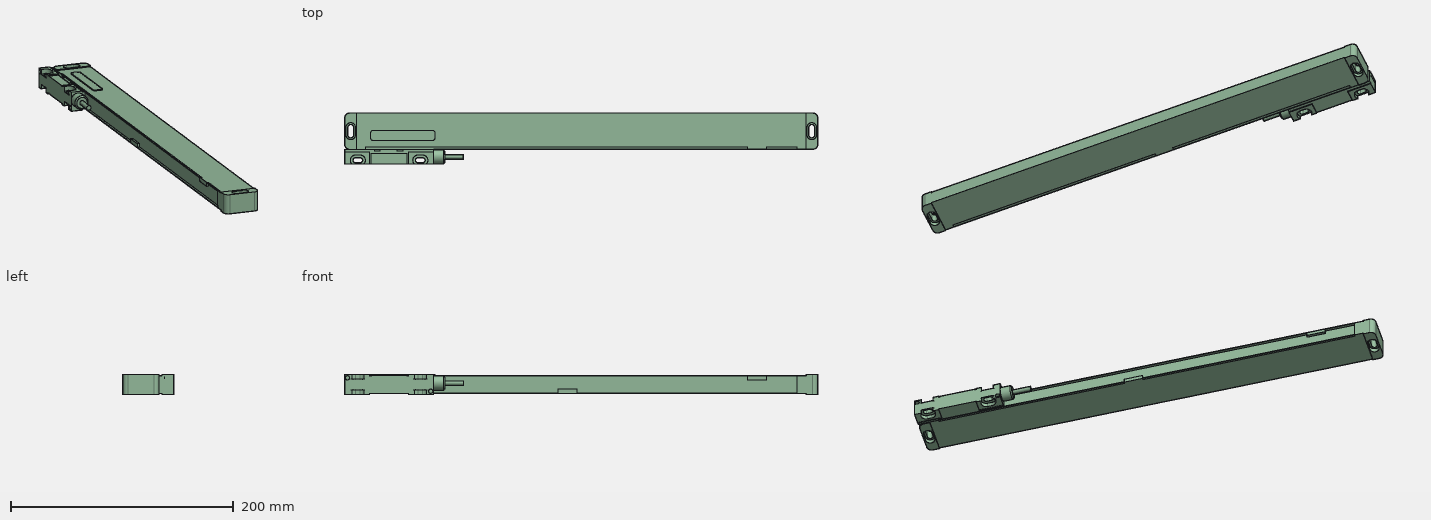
import cadquery as cq

TOTAL_LENGTH = 425.0
BAR_HEIGHT = 16.0
SKIN_STEP = 0.95
TOTAL_HEIGHT = BAR_HEIGHT + 2 * SKIN_STEP

HOUSING_FRONT_Y = 13.0
HOUSING_WIDTH = 32.7
HOUSING_MID_Y = HOUSING_FRONT_Y + HOUSING_WIDTH / 2
CAP_LENGTH = 10.5
CAP_CORNER_RADIUS = 4.5

GROOVE_END_MARGIN = 18.5
GROOVE_LIP = 0.65
GROOVE_DEPTH = 2.0
TAB_LENGTH = 17.0
TAB_HEIGHT = 4.0
UPPER_TAB_X = 370.0
LOWER_TAB_X = 200.0

LABEL_START_X = 23.5
LABEL_LENGTH = 58.0
LABEL_START_Y = 21.2
LABEL_WIDTH = 9.0
LABEL_THICKNESS = 1.0
LABEL_CORNER_RADIUS = 2.0

COUNTERBORE_DEPTH = 4.2
CAP_SLOT_INSET = 5.5
CAP_SLOT_TRAVEL = 7.0
CAP_SLOT_WIDTH = 5.0
CAP_COUNTERBORE_WIDTH = 8.5
HEAD_SLOT_INSET = 12.0
HEAD_SLOT_Y = 3.5
HEAD_SLOT_TRAVEL = 4.2
HEAD_SLOT_WIDTH = 4.2
HEAD_COUNTERBORE_WIDTH = 9.5

HEAD_LENGTH = 80.0
PAD_LENGTH = 22.5
PAD_WIDTH = 10.5
PLATE_START_X = 24.0
PLATE_LENGTH = 32.5
PLATE_WIDTH = 9.5
PLATE_THICKNESS = 0.5
BACK_NOTCH_INSETS = (29.5, 49.7)
BACK_NOTCH_LENGTH = 5.0
BACK_NOTCH_WIDTH = 1.3
BACK_NOTCH_DEPTH = 2.0

CORNER_HOLE_INSET_X = 2.5
CORNER_HOLE_INSET_Z = 3.0
CORNER_HOLE_DIAMETER = 4.0
CORNER_HOLE_DEPTH = 8.5

CABLE_Y = 6.5
CABLE_Z = 10.0
SLEEVE_DIAMETER = 12.8
SLEEVE_LENGTH = 10.0
SLEEVE_CHAMFER = 1.3
CABLE_DIAMETER = 4.2
CABLE_END_X = 106.5


def block(x, y, z, length, width, height):
    """Box with its lowest corner at (x, y, z)."""
    return cq.Workplane("XY").box(length, width, height, centered=False).translate((x, y, z))


def upright_slot(x, y, z, travel, width, height, angle):
    """Round-ended vertical prism; travel is the distance between its end centres."""
    return (
        cq.Workplane("XY")
        .slot2D(travel + width, width, angle)
        .extrude(height)
        .translate((x, y, z))
    )


def counterbored_slot(x, y, travel, slot_width, counterbore_width, angle):
    """Cutter for a through slot with a slotted counterbore from the top and from the bottom."""
    cutter = upright_slot(x, y, 0, travel, slot_width, TOTAL_HEIGHT, angle)
    for z in (0, TOTAL_HEIGHT - COUNTERBORE_DEPTH):
        cutter = cutter.union(
            upright_slot(x, y, z, travel, counterbore_width, COUNTERBORE_DEPTH, angle)
        )
    return cutter


def end_cap(x, outer_side):
    """End cap starting at x, with both vertical edges of its outer side rounded."""
    cap = block(x, HOUSING_FRONT_Y, 0, CAP_LENGTH, HOUSING_WIDTH, TOTAL_HEIGHT)
    return cap.faces(outer_side).edges("|Z").fillet(CAP_CORNER_RADIUS)


def guide_groove():
    """Cutter for the front groove, leaving one tab standing at each lip."""
    bottom_z = SKIN_STEP + GROOVE_LIP
    top_z = TOTAL_HEIGHT - bottom_z
    groove = block(
        GROOVE_END_MARGIN, HOUSING_FRONT_Y, bottom_z,
        TOTAL_LENGTH - 2 * GROOVE_END_MARGIN, GROOVE_DEPTH, top_z - bottom_z,
    )
    lower_tab_z = SKIN_STEP
    upper_tab_z = TOTAL_HEIGHT - SKIN_STEP - TAB_HEIGHT
    for tab_x, tab_z in ((LOWER_TAB_X, lower_tab_z), (UPPER_TAB_X, upper_tab_z)):
        groove = groove.cut(
            block(tab_x - TAB_LENGTH / 2, HOUSING_FRONT_Y, tab_z, TAB_LENGTH, GROOVE_DEPTH, TAB_HEIGHT)
        )
    return groove


def label_plate():
    """Thin raised plate with rounded corners on top of the bar."""
    plate = block(
        LABEL_START_X, LABEL_START_Y, TOTAL_HEIGHT - SKIN_STEP,
        LABEL_LENGTH, LABEL_WIDTH, LABEL_THICKNESS,
    )
    return plate.edges("|Z").fillet(LABEL_CORNER_RADIUS)


def make_housing():
    bar_length = TOTAL_LENGTH - 2 * CAP_LENGTH
    housing = block(CAP_LENGTH, HOUSING_FRONT_Y, SKIN_STEP, bar_length, HOUSING_WIDTH, BAR_HEIGHT)
    housing = housing.cut(guide_groove()).union(label_plate())
    housing = housing.union(end_cap(0, "<X")).union(end_cap(TOTAL_LENGTH - CAP_LENGTH, ">X"))
    for x in (CAP_SLOT_INSET, TOTAL_LENGTH - CAP_SLOT_INSET):
        housing = housing.cut(
            counterbored_slot(
                x, HOUSING_MID_Y, CAP_SLOT_TRAVEL, CAP_SLOT_WIDTH, CAP_COUNTERBORE_WIDTH, 90
            )
        )
    return housing


def corner_hole(x, z):
    """Cutter for a blind hole going in from the head's front face."""
    return (
        cq.Workplane("XZ", origin=(x, 0, z))
        .circle(CORNER_HOLE_DIAMETER / 2)
        .extrude(-CORNER_HOLE_DEPTH)
    )


def cable_outlet():
    """Chamfered sleeve on the end of the head and the cable leaving it."""
    start = cq.Workplane("YZ", origin=(HEAD_LENGTH, CABLE_Y, CABLE_Z))
    sleeve = start.circle(SLEEVE_DIAMETER / 2).extrude(SLEEVE_LENGTH)
    sleeve = sleeve.faces(">X").chamfer(SLEEVE_CHAMFER)
    cable = start.circle(CABLE_DIAMETER / 2).extrude(CABLE_END_X - HEAD_LENGTH)
    return sleeve.union(cable)


def make_reading_head():
    head = block(0, 0, SKIN_STEP, HEAD_LENGTH, HOUSING_FRONT_Y, BAR_HEIGHT)
    for x in (0, HEAD_LENGTH - PAD_LENGTH):
        head = head.union(block(x, 0, 0, PAD_LENGTH, PAD_WIDTH, TOTAL_HEIGHT))

    core_top_z = TOTAL_HEIGHT - SKIN_STEP
    head = head.union(block(PLATE_START_X, 0, core_top_z, PLATE_LENGTH, PLATE_WIDTH, PLATE_THICKNESS))

    for x in BACK_NOTCH_INSETS:
        head = head.cut(
            block(
                x - BACK_NOTCH_LENGTH / 2, HOUSING_FRONT_Y - BACK_NOTCH_WIDTH, core_top_z - BACK_NOTCH_DEPTH,
                BACK_NOTCH_LENGTH, BACK_NOTCH_WIDTH, BACK_NOTCH_DEPTH,
            )
        )

    for x in (HEAD_SLOT_INSET, HEAD_LENGTH - HEAD_SLOT_INSET):
        head = head.cut(
            counterbored_slot(
                x, HEAD_SLOT_Y, HEAD_SLOT_TRAVEL, HEAD_SLOT_WIDTH, HEAD_COUNTERBORE_WIDTH, 0
            )
        )

    head = head.cut(corner_hole(CORNER_HOLE_INSET_X, TOTAL_HEIGHT - CORNER_HOLE_INSET_Z))
    head = head.cut(corner_hole(HEAD_LENGTH - CORNER_HOLE_INSET_X, CORNER_HOLE_INSET_Z))

    return head.union(cable_outlet())


housing = make_housing()
reading_head = make_reading_head()
result = cq.Compound.makeCompound([housing.solids().val(), reading_head.solids().val()])